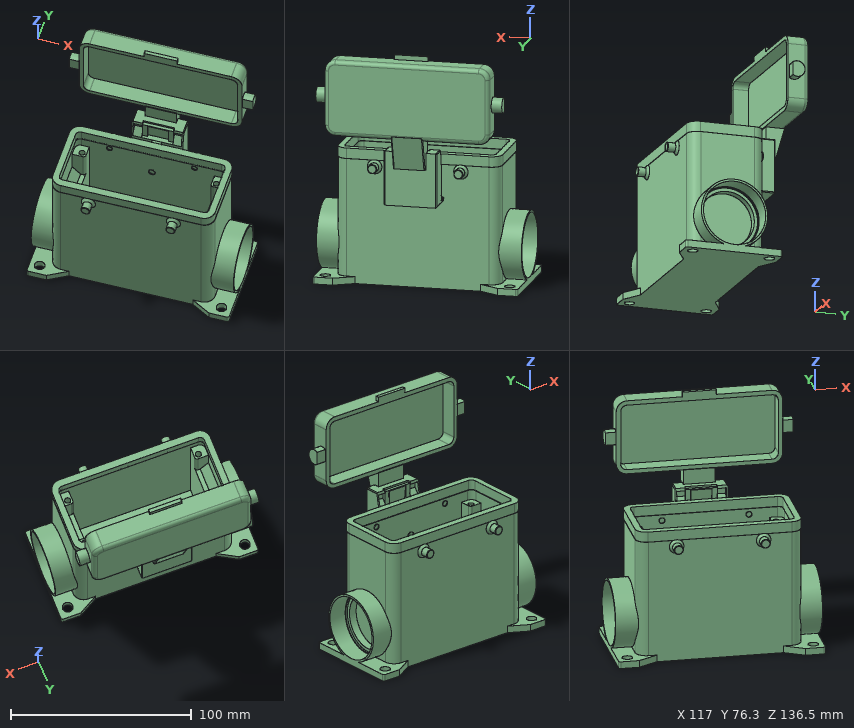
import cadquery as cq
import math

HOUSING_LENGTH = 93.9
HOUSING_WIDTH = 44.2
HOUSING_HEIGHT = 77.4
HOUSING_CORNER = 6.3
RIM_HEIGHT = 6.0
RIM_STEP = 0.1
MOUTH_LENGTH = 86.3
MOUTH_WIDTH = 35.8
MOUTH_CORNER = 2.6
MOUTH_STEP = 0.7
CAVITY_LENGTH = MOUTH_LENGTH + 2 * MOUTH_STEP
CAVITY_WIDTH = MOUTH_WIDTH + 2 * MOUTH_STEP
FLOOR_THICKNESS = 4.1
SIDE_FACE = HOUSING_WIDTH / 2 - RIM_STEP

OVERALL_LENGTH = 117.0
FOOT_WIDTH = 56.8
FOOT_THICKNESS = 4.1
FOOT_CORNER = 1.1
FOOT_BEVEL_RUN = 11.2
FOOT_HOLE_DIAMETER = 5.7
FOOT_HOLE_X = 52.5
FOOT_HOLE_Y = 22.5

ENTRY_HEIGHT = 22.5
ENTRY_RADIUS = 19.5
ENTRY_THREAD_RADIUS = 18.3
ENTRY_THREAD_DEPTH = 10.9
ENTRY_RELIEF_RADIUS = 17.7
ENTRY_RELIEF_DEPTH = 12.0
ENTRY_BORE_RADIUS = 15.8
ENTRY_BORE_DEPTH = 16.8

END_BLOCK_LENGTH = 7.6
POST_WIDTH = 7.6
POST_TOP = 65.1
POST_EDGE_RADIUS = 1.4
POST_HOLE_DIAMETER = 3.3
POST_HOLE_DEPTH = 16.4
POST_HOLE_X = 38.8
POST_HOLE_Y = 13.5
BLOCK_TOP = 49.4
RAMP_RUN = 4.9
RAMP_RISE = 4.9

PIN_X = 24.6
PIN_HEIGHT = 67.7
PIN_RADIUS = 2.6
PIN_END_CHAMFER = 0.3
PIN_REACH = 28.1
PIN_CONE_RADIUS = 4.1
PIN_CONE_LENGTH = 1.5
RIVET_RADIUS = 1.6
RIVET_DEPTH = 0.7
HINGE_SCREW_RADIUS = 1.9
HINGE_SCREW_HEIGHT = 55.5

BRACKET_HALF_WIDTH = 15.0
BRACKET_BACK = 39.3
BRACKET_FRONT = 28.5
BRACKET_TOP_FRONT = 30.3
BRACKET_TOP = 81.6
BRACKET_SHOULDER = 72.8
BRACKET_BOTTOM = 50.6
LIP_FRONT = 23.3
LIP_THICKNESS = 1.6
CHEEK_THICKNESS = 1.0
BRACKET_EDGE_CHAMFER = 0.5
POCKET_BACK = 32.2
POCKET_RAMP_RISE = 4.8
POCKET_FLOOR = 71.3
BRACKET_TOP_THICKNESS = 1.6

PEDESTAL_TOP = POCKET_FLOOR
PEDESTAL_BOTTOM = BRACKET_BOTTOM + LIP_THICKNESS
PEDESTAL_NECK_HALF = 2.7
PEDESTAL_FLANK_RADIUS = 8.2
PEDESTAL_FOOT_HEIGHT = 55.0
PEDESTAL_HALF_WIDTH = 14.9

LID_LENGTH = 94.2
LID_BOTTOM = 90.4
LID_TOP = 133.8
LID_FRONT = 35.4
LID_BACK = 47.9
LID_CORNER = 6.1
LID_BACK_FILLET = 2.5
LID_WALL = 2.6
LID_FLOOR = 3.3
PEG_REACH = 53.1
PEG_RADIUS = 4.5
PEG_Y = 38.8
PEG_HEIGHT = 111.7
PEG_FLAT_Y = 36.2
TAB_WIDTH = 19.1
TAB_THICKNESS = 2.0
TAB_TOP = 136.5

ARM_HALF_WIDTH = 9.0
ARM_FRONT = 35.9
ARM_TIP_BACK = 42.2
ARM_TIP_HEIGHT = 72.5
ARM_ROOT_HEIGHT = 92.1
ARM_EDGE_CHAMFER = 0.5
HEAD_TOP_FRONT = 32.2
HEAD_FRONT = 30.3
HEAD_STEP = 1.1
HEAD_PANEL_HALF_WIDTH = 6.0
HEAD_PANEL_TOP_DEPTH = 0.3
HEAD_PANEL_FOOT_DEPTH = 1.2
HEAD_PANEL_RIM = 0.5


def block(x_range, y_range, z_range):
    """Box given by its two ends along each axis."""
    (x0, x1), (y0, y1), (z0, z1) = x_range, y_range, z_range
    return cq.Workplane("XY").box(x1 - x0, y1 - y0, z1 - z0, centered=False).translate((x0, y0, z0))


def rod_along_x(radius, x0, x1, y, z):
    return cq.Workplane("YZ", origin=(x0, y, z)).circle(radius).extrude(x1 - x0)


def rod_along_y(radius, y0, y1, x, z):
    return cq.Workplane("XZ", origin=(x, y0, z)).circle(radius).extrude(y0 - y1)


def rounded_block(length, width, corner, z_range):
    """Upright block centred on the Z axis, with rounded vertical edges."""
    bottom, top = z_range
    body = cq.Workplane("XY", origin=(0, 0, bottom)).rect(length, width).extrude(top - bottom)
    return body.edges("|Z").fillet(corner)


def housing_shell():
    rim_bottom = HOUSING_HEIGHT - RIM_HEIGHT
    lower_length = HOUSING_LENGTH - 2 * RIM_STEP
    lower_width = HOUSING_WIDTH - 2 * RIM_STEP
    rim = rounded_block(HOUSING_LENGTH, HOUSING_WIDTH, HOUSING_CORNER, (rim_bottom, HOUSING_HEIGHT))
    return rim.union(rounded_block(lower_length, lower_width, HOUSING_CORNER, (0, rim_bottom)))


def cavity():
    rim_bottom = HOUSING_HEIGHT - RIM_HEIGHT
    mouth = rounded_block(MOUTH_LENGTH, MOUTH_WIDTH, MOUTH_CORNER, (rim_bottom, HOUSING_HEIGHT))
    room_corner = MOUTH_CORNER + MOUTH_STEP
    room = rounded_block(CAVITY_LENGTH, CAVITY_WIDTH, room_corner, (FLOOR_THICKNESS, rim_bottom))
    return mouth.union(room)


def foot():
    """Foot at the -X end."""
    end_x = -OVERALL_LENGTH / 2
    bevel_x = -HOUSING_LENGTH / 2
    inner_x = bevel_x + FOOT_BEVEL_RUN
    edge_y = FOOT_WIDTH / 2
    side_y = SIDE_FACE
    outline = [
        (end_x, -edge_y), (bevel_x, -edge_y), (inner_x, -side_y),
        (inner_x, side_y), (bevel_x, edge_y), (end_x, edge_y),
    ]
    plate = cq.Workplane("XY").polyline(outline).close().extrude(FOOT_THICKNESS)
    plate = plate.edges("|Z and <X").fillet(FOOT_CORNER)
    holes = cq.Workplane("XY").pushPoints([(-FOOT_HOLE_X, -FOOT_HOLE_Y), (-FOOT_HOLE_X, FOOT_HOLE_Y)])
    return plate.cut(holes.circle(FOOT_HOLE_DIAMETER / 2).extrude(FOOT_THICKNESS))


def entry_collar():
    """Outside of the cable entry at the -X end, reaching the inner face of the end wall."""
    return rod_along_x(ENTRY_RADIUS, -OVERALL_LENGTH / 2, -CAVITY_LENGTH / 2, 0, ENTRY_HEIGHT)


def entry_bore():
    """Stepped blind bore of the cable entry at the -X end."""
    end_x = -OVERALL_LENGTH / 2
    thread_end = end_x + ENTRY_THREAD_DEPTH
    relief_end = end_x + ENTRY_RELIEF_DEPTH
    bore = rod_along_x(ENTRY_THREAD_RADIUS, end_x, thread_end, 0, ENTRY_HEIGHT)
    bore = bore.union(rod_along_x(ENTRY_RELIEF_RADIUS, end_x, relief_end, 0, ENTRY_HEIGHT))
    return bore.union(rod_along_x(ENTRY_BORE_RADIUS, end_x, end_x + ENTRY_BORE_DEPTH, 0, ENTRY_HEIGHT))


def end_block():
    """Closing block with its ramp and two screw posts, inside the -X end wall."""
    wall_x = -CAVITY_LENGTH / 2
    face_x = wall_x + END_BLOCK_LENGTH
    side_y = CAVITY_WIDTH / 2
    ramp_outline = [
        (wall_x, FLOOR_THICKNESS), (face_x, FLOOR_THICKNESS), (face_x, BLOCK_TOP),
        (wall_x + RAMP_RUN, BLOCK_TOP), (wall_x, BLOCK_TOP + RAMP_RISE),
    ]
    body = cq.Workplane("XZ", origin=(0, side_y, 0)).polyline(ramp_outline).close().extrude(CAVITY_WIDTH)
    for side in (-1, 1):
        inner_y = side_y - POST_WIDTH
        y_range = sorted((side * inner_y, side * side_y))
        post = block((wall_x, face_x), y_range, (BLOCK_TOP, POST_TOP))
        free_corner = ">X and <Y" if side == 1 else ">X and >Y"
        post = post.edges("|Z").edges(free_corner).fillet(POST_EDGE_RADIUS)
        hole = cq.Workplane("XY", origin=(-POST_HOLE_X, side * POST_HOLE_Y, POST_TOP - POST_HOLE_DEPTH))
        hole = hole.circle(POST_HOLE_DIAMETER / 2).extrude(POST_HOLE_DEPTH)
        body = body.union(post).cut(hole)
    return body.intersect(cavity())


def locking_pin(x):
    """Pin on the -Y side, with a cone at its root."""
    wall_y = -SIDE_FACE
    pin = rod_along_y(PIN_RADIUS, wall_y, -PIN_REACH, x, PIN_HEIGHT)
    pin = pin.faces("<Y").chamfer(PIN_END_CHAMFER)
    cone = cq.Solid.makeCone(
        PIN_CONE_RADIUS, PIN_RADIUS, PIN_CONE_LENGTH,
        cq.Vector(x, wall_y, PIN_HEIGHT), cq.Vector(0, -1, 0),
    )
    return pin.union(cq.Workplane(cone))


def wall_dimple(radius, x, z):
    """Shallow round recess in the inner face of the +Y wall."""
    inner_y = CAVITY_WIDTH / 2
    return rod_along_y(radius, inner_y, inner_y + RIVET_DEPTH, x, z)


def hinge_pedestal():
    """Flared pedestal on the +Y wall that carries the hinge bracket."""
    flank_x = PEDESTAL_NECK_HALF + PEDESTAL_FLANK_RADIUS
    flank_z = PEDESTAL_FOOT_HEIGHT + PEDESTAL_FLANK_RADIUS
    diagonal = PEDESTAL_FLANK_RADIUS * math.sqrt(0.5)
    half = (
        cq.Workplane("XZ", origin=(0, BRACKET_FRONT, 0))
        .moveTo(0, PEDESTAL_BOTTOM)
        .lineTo(PEDESTAL_HALF_WIDTH, PEDESTAL_BOTTOM)
        .lineTo(flank_x, PEDESTAL_FOOT_HEIGHT)
        .threePointArc((flank_x - diagonal, flank_z - diagonal), (PEDESTAL_NECK_HALF, flank_z))
        .lineTo(PEDESTAL_NECK_HALF, PEDESTAL_TOP)
        .lineTo(0, PEDESTAL_TOP)
        .close()
        .extrude(BRACKET_FRONT - SIDE_FACE)
    )
    return half.union(half.mirror("YZ"))


def make_housing():
    body = housing_shell()
    for part in (foot(), entry_collar()):
        body = body.union(part).union(part.mirror("YZ"))
    body = body.cut(cavity())
    block_inside = end_block()
    body = body.union(block_inside).union(block_inside.mirror("YZ"))
    bore = entry_bore()
    body = body.cut(bore).cut(bore.mirror("YZ"))
    for x in (-PIN_X, PIN_X):
        pin = locking_pin(x)
        body = body.union(pin).union(pin.mirror("XZ"))
        body = body.cut(wall_dimple(RIVET_RADIUS, x, PIN_HEIGHT))
    body = body.cut(wall_dimple(HINGE_SCREW_RADIUS, 0, HINGE_SCREW_HEIGHT))
    return body.union(hinge_pedestal())


def lid_cover():
    """Shallow tray, open toward -Y."""
    height = LID_TOP - LID_BOTTOM
    middle_z = (LID_TOP + LID_BOTTOM) / 2
    tray = cq.Workplane("XZ", origin=(0, LID_BACK, middle_z)).rect(LID_LENGTH, height)
    tray = tray.extrude(LID_BACK - LID_FRONT)
    tray = tray.edges("|Y").fillet(LID_CORNER).faces(">Y").edges().fillet(LID_BACK_FILLET)
    recess = cq.Workplane("XZ", origin=(0, LID_BACK - LID_FLOOR, middle_z))
    recess = recess.rect(LID_LENGTH - 2 * LID_WALL, height - 2 * LID_WALL)
    recess = recess.extrude(LID_BACK - LID_FLOOR - LID_FRONT)
    return tray.cut(recess.edges("|Y").fillet(LID_CORNER - LID_WALL))


def lid_peg():
    """Peg at the -X end of the lid: a rod with a flat on its -Y side."""
    end_x = -LID_LENGTH / 2
    peg = rod_along_x(PEG_RADIUS, -PEG_REACH, end_x + LID_WALL, PEG_Y, PEG_HEIGHT)
    keep = block(
        (-PEG_REACH, end_x + LID_WALL),
        (PEG_FLAT_Y, PEG_Y + PEG_RADIUS),
        (PEG_HEIGHT - PEG_RADIUS, PEG_HEIGHT + PEG_RADIUS),
    )
    return peg.intersect(keep)


def lid_tab():
    half = TAB_WIDTH / 2
    return block((-half, half), (LID_FRONT, LID_FRONT + TAB_THICKNESS), (LID_TOP - LID_WALL, TAB_TOP))


def side_profile(points, half_width):
    """Prism of a Y-Z outline, centred on X = 0."""
    outline = cq.Workplane("YZ", origin=(-half_width, 0, 0)).polyline(points).close()
    return outline.extrude(2 * half_width)


def lid_arm():
    """Tapered arm under the lid."""
    arm = side_profile(
        [
            (ARM_FRONT, LID_BOTTOM + LID_WALL), (ARM_FRONT, ARM_TIP_HEIGHT), (ARM_TIP_BACK, ARM_TIP_HEIGHT),
            (LID_BACK, ARM_ROOT_HEIGHT), (LID_BACK - LID_FLOOR, LID_BOTTOM + LID_WALL),
        ],
        ARM_HALF_WIDTH,
    )
    slope_middle = ((ARM_TIP_BACK + LID_BACK) / 2, (ARM_TIP_HEIGHT + ARM_ROOT_HEIGHT) / 2)
    slope = arm.faces(cq.selectors.NearestToPointSelector((0, *slope_middle)))
    return slope.edges("not |X").chamfer(ARM_EDGE_CHAMFER)


def arm_head():
    """Stepped head of the arm, filling the window of the bracket, with a panel that leans back downward."""
    ledge_z = BRACKET_TOP - HEAD_STEP
    panel_top = ledge_z - HEAD_PANEL_RIM
    head = side_profile(
        [
            (ARM_FRONT, POCKET_FLOOR), (HEAD_FRONT, POCKET_FLOOR), (HEAD_FRONT, ledge_z),
            (HEAD_TOP_FRONT, ledge_z), (HEAD_TOP_FRONT, BRACKET_TOP), (ARM_FRONT, BRACKET_TOP),
        ],
        ARM_HALF_WIDTH,
    )
    panel = side_profile(
        [
            (HEAD_FRONT, POCKET_FLOOR), (HEAD_FRONT + HEAD_PANEL_FOOT_DEPTH, POCKET_FLOOR),
            (HEAD_FRONT + HEAD_PANEL_TOP_DEPTH, panel_top), (HEAD_FRONT, panel_top),
        ],
        HEAD_PANEL_HALF_WIDTH,
    )
    return head.cut(panel)


def hinge_bracket():
    lip_top = BRACKET_BOTTOM + LIP_THICKNESS
    body = side_profile(
        [
            (BRACKET_BACK, BRACKET_BOTTOM), (BRACKET_BACK, BRACKET_TOP), (BRACKET_TOP_FRONT, BRACKET_TOP),
            (BRACKET_FRONT, BRACKET_SHOULDER), (BRACKET_FRONT, lip_top),
            (LIP_FRONT, lip_top), (LIP_FRONT, BRACKET_BOTTOM),
        ],
        BRACKET_HALF_WIDTH,
    )
    body = body.faces(">Y or >Z or <Z").edges("(not |X) and (<X or >X)").chamfer(BRACKET_EDGE_CHAMFER)
    pocket_top = BRACKET_TOP - BRACKET_TOP_THICKNESS
    pocket = side_profile(
        [
            (BRACKET_FRONT, POCKET_FLOOR), (POCKET_BACK, POCKET_FLOOR + POCKET_RAMP_RISE),
            (POCKET_BACK, pocket_top), (BRACKET_FRONT, pocket_top),
        ],
        BRACKET_HALF_WIDTH - CHEEK_THICKNESS,
    )
    window = block(
        (-ARM_HALF_WIDTH, ARM_HALF_WIDTH), (BRACKET_FRONT, ARM_FRONT), (POCKET_FLOOR, BRACKET_TOP)
    )
    return body.cut(pocket).cut(window)


def make_lid():
    peg = lid_peg()
    body = lid_cover().union(lid_tab()).union(peg).union(peg.mirror("YZ"))
    return body.union(hinge_bracket()).union(lid_arm()).union(arm_head())


housing = make_housing()
lid = make_lid()

result = cq.Compound.makeCompound([housing.val(), lid.val()])